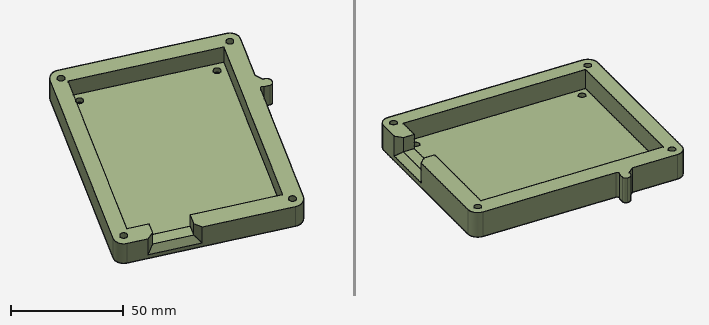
import cadquery as cq
import math

LENGTH = 108.0
WIDTH = 88.0
HEIGHT = 13.0
CORNER_RADIUS = 5.0
RIGHT_SIDE = LENGTH / 2
BACK_SIDE = WIDTH / 2

POCKET_LENGTH = 92.0
POCKET_WIDTH = 72.0
POCKET_CENTER = (-0.5, -0.5)
FLOOR_THICKNESS = 3.0

HOLE_DIAMETER = 3.4
RIM_HOLE_INSET = 5.0
FLOOR_HOLE_CENTER = (-0.6, -0.6)
FLOOR_HOLE_SPACING = (83.8, 63.5)

OPENING_WIDTH = 19.0
OPENING_CENTER_Y = -16.7
SILL_HEIGHT = 5.5
FLARE_DEPTH = 3.0

HOOK_REACH = 6.28
TIP_X = -20.5
TIP_RADIUS_LEFT = 2.8
TIP_RADIUS_RIGHT = 1.75
FLANK_DROP = 0.8
FLANK_RUN = 3.2
UNDERCUT_X = -18.0
UNDERCUT_RADIUS = 1.1
HOOK_ROOT = 2.0


def make_body():
    body = cq.Workplane("XY").box(LENGTH, WIDTH, HEIGHT, centered=(True, True, False))
    return body.edges("|Z").fillet(CORNER_RADIUS)


def make_hook():
    top = (TIP_X, BACK_SIDE + HOOK_REACH)
    left_center_y = top[1] - TIP_RADIUS_LEFT
    left_side = (TIP_X - TIP_RADIUS_LEFT, left_center_y)
    flat_x = TIP_X + TIP_RADIUS_RIGHT
    flat_top = (flat_x, top[1] - TIP_RADIUS_RIGHT)

    flank_top = (TIP_X - math.sqrt(TIP_RADIUS_LEFT**2 - FLANK_DROP**2), left_center_y - FLANK_DROP)
    flank_foot = (flank_top[0] - FLANK_RUN, BACK_SIDE)

    undercut_y = BACK_SIDE + UNDERCUT_RADIUS
    undercut_offset = UNDERCUT_X - flat_x
    flat_foot = (flat_x, undercut_y + math.sqrt(UNDERCUT_RADIUS**2 - undercut_offset**2))

    undercut_side = (UNDERCUT_X - UNDERCUT_RADIUS, undercut_y)
    undercut_foot = (UNDERCUT_X, BACK_SIDE)

    root_y = BACK_SIDE - HOOK_ROOT
    return (
        cq.Workplane("XY")
        .moveTo(flank_foot[0], root_y)
        .lineTo(*flank_foot)
        .lineTo(*flank_top)
        .threePointArc(left_side, top)
        .tangentArcPoint(flat_top, relative=False)
        .lineTo(*flat_foot)
        .threePointArc(undercut_side, undercut_foot)
        .lineTo(UNDERCUT_X, root_y)
        .close()
        .extrude(HEIGHT)
    )


def make_pocket():
    return (
        cq.Workplane("XY", origin=(0, 0, FLOOR_THICKNESS))
        .center(*POCKET_CENTER)
        .rect(POCKET_LENGTH, POCKET_WIDTH)
        .extrude(HEIGHT)
    )


def opening_section(x, flare):
    """Rectangle across the +X wall at x, widened and lowered by the flare, open above the rim."""
    bottom = SILL_HEIGHT - flare
    return (
        cq.Workplane("YZ", origin=(x, OPENING_CENTER_Y, 0))
        .center(0, (bottom + HEIGHT) / 2)
        .rect(OPENING_WIDTH + 2 * flare, HEIGHT - bottom)
    )


def make_opening():
    flare_start = RIGHT_SIDE - FLARE_DEPTH
    straight = opening_section(POCKET_CENTER[0], 0).extrude(flare_start - POCKET_CENTER[0])
    inner = opening_section(flare_start, 0).wires().val()
    outer = opening_section(RIGHT_SIDE, FLARE_DEPTH).wires().val()
    flare = cq.Solid.makeLoft([inner, outer], True)
    return straight.union(cq.Workplane(flare))


def make_hole_set(center, spacing):
    return (
        cq.Workplane("XY")
        .center(*center)
        .rect(*spacing, forConstruction=True)
        .vertices()
        .circle(HOLE_DIAMETER / 2)
        .extrude(HEIGHT)
    )


rim_hole_spacing = (LENGTH - 2 * RIM_HOLE_INSET, WIDTH - 2 * RIM_HOLE_INSET)

result = (
    make_body()
    .union(make_hook())
    .cut(make_pocket())
    .cut(make_opening())
    .cut(make_hole_set((0, 0), rim_hole_spacing))
    .cut(make_hole_set(FLOOR_HOLE_CENTER, FLOOR_HOLE_SPACING))
)